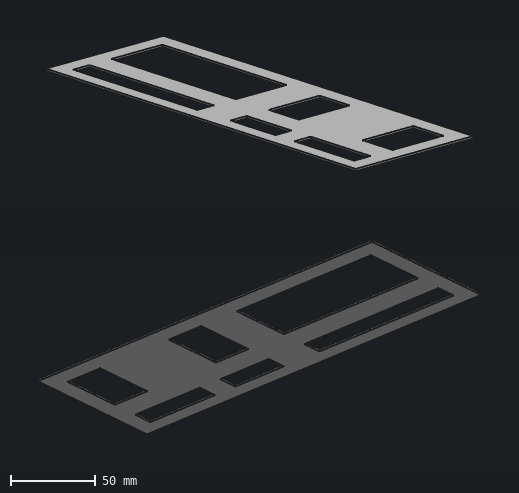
import cadquery as cq

panel_length = 270.5
panel_width = 95.5
panel_thickness = 1.6

side_margin = 12.75
top_margin = 12.75
bottom_margin = 10.75

upper_height = 41.0
lower_height = 13.0

long_window = 108.25
upper_window = 26.0
lower_middle_window = 39.0
lower_right_window = 52.0

middle_offset = 150.0

upper_row_y = panel_width / 2 - top_margin - upper_height / 2
lower_row_y = -panel_width / 2 + bottom_margin + lower_height / 2
left_edge = -panel_length / 2 + side_margin
middle_edge = -panel_length / 2 + middle_offset
right_edge = panel_length / 2 - side_margin

upper_windows = [
    (left_edge, long_window),
    (middle_edge, upper_window),
    (right_edge - upper_window, upper_window),
]
lower_windows = [
    (left_edge, long_window),
    (middle_edge, lower_middle_window),
    (right_edge - lower_right_window, lower_right_window),
]


def cut_window_row(panel, windows, row_y, height):
    """Cut a row of rectangular windows through the full panel thickness."""
    for start_x, length in windows:
        cutter = cq.Workplane("XY").box(length, height, panel_thickness)
        panel = panel.cut(cutter.translate((start_x + length / 2, row_y, 0)))
    return panel


blank = cq.Workplane("XY").box(panel_length, panel_width, panel_thickness)
upper_cut = cut_window_row(blank, upper_windows, upper_row_y, upper_height)
result = cut_window_row(upper_cut, lower_windows, lower_row_y, lower_height)